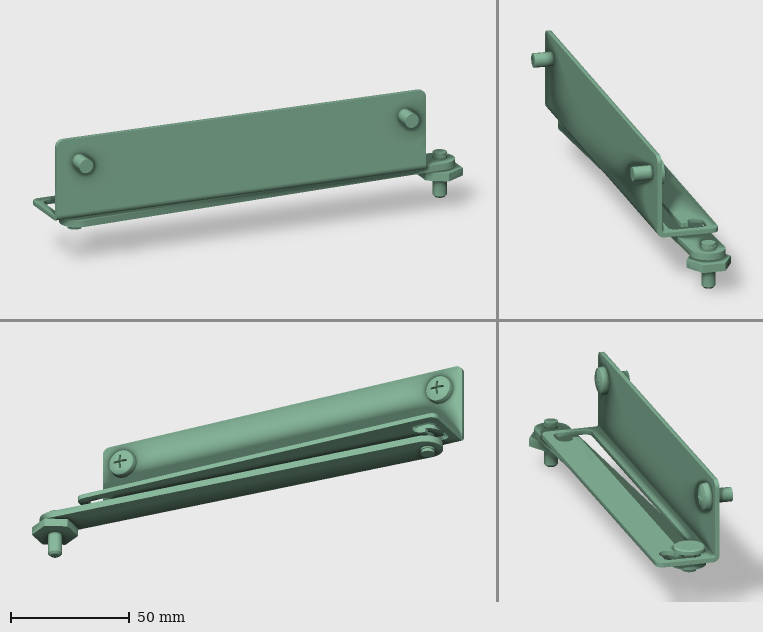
import cadquery as cq
import math


BRACKET_LENGTH = 170.0
BRACKET_WIDTH = 27.4
BRACKET_HEIGHT = 36.0
SHEET_THICKNESS = 2.0
BEND_INNER_RADIUS = 1.0
BEND_OUTER_RADIUS = BEND_INNER_RADIUS + SHEET_THICKNESS
BRACKET_CORNER_RADIUS = 3.0

SLOT_WIDTH = 7.0
SLOT_CENTRE_X = -9.8
SLOT_END_MARGIN = 3.0
SLOT_CORNER_RADIUS = 3.0
SLOT_LIP_RADIUS = 0.5
POCKET_CENTRE_X = -19.8
POCKET_REACH = 11.2

SCREW_DIAMETER = 6.2
SCREW_PROTRUSION = 8.0
SCREW_HEAD_DIAMETER = 12.0
SCREW_RIM_THICKNESS = 0.4
SCREW_SIDE_HEIGHT = 2.3
SCREW_DOME_DIAMETER = 11.2
SCREW_DOME_HEIGHT = 1.3
SCREW_SPACING = 150.0
SCREW_DROP = 10.0
CROSS_LENGTH = 6.2
CROSS_WIDTH = 1.0
CROSS_DEPTH = 2.0

ARM_WIDTH = 15.0
ARM_THICKNESS = 2.9
ARM_GAP = 1.7
ARM_TOP_Z = -ARM_GAP
ARM_BOTTOM_Z = ARM_TOP_Z - ARM_THICKNESS
ARM_HOLE_OFFSET = 1.2

SHAFT_DIAMETER = 6.0
GROOVE_WIDTH = 1.0
GROOVE_DEPTH = 0.4
GROOVE_END_LAND = 0.5

PIN_X = -9.6
PIN_Y = 12.3
PIN_BOTTOM_Z = -7.0
PIN_HEAD_DIAMETER = 13.5
PIN_HEAD_THICKNESS = 2.1
PIN_HEAD_CHAMFER = 0.5

STUD_X = -18.3
STUD_Y = 184.2
STUD_TOP_Z = 1.2
STUD_BOTTOM_Z = -18.9
STUD_CHAMFER = 1.0
HEX_ACROSS_FLATS = 17.0
HEX_ACROSS_CORNERS = HEX_ACROSS_FLATS / math.cos(math.pi / 6)
HEX_TOP_Z = -5.8
HEX_THICKNESS = 3.5

SCREW_Z = BRACKET_HEIGHT - SCREW_DROP
SCREW_YS = [(BRACKET_LENGTH + side * SCREW_SPACING) / 2 for side in (-1, 1)]


def cylinder_up(x, y, bottom, top, diameter):
    """Vertical cylinder between two heights."""
    return cq.Workplane("XY", origin=(x, y, bottom)).circle(diameter / 2).extrude(top - bottom)


def box_between(x0, x1, y0, y1, z0, z1):
    """Box given by its limits along each axis."""
    return cq.Workplane("XY").box(x1 - x0, y1 - y0, z1 - z0, centered=False).translate((x0, y0, z0))


def slot_end():
    """Near end of the guide slot: a cross passage that turns back into a round pocket."""
    left = POCKET_CENTRE_X - SLOT_WIDTH / 2
    right = SLOT_CENTRE_X + SLOT_WIDTH / 2
    near = SLOT_END_MARGIN
    passage = box_between(left, right, near, near + SLOT_WIDTH, 0, SHEET_THICKNESS)
    passage = passage.edges("|Z and <Y").fillet(SLOT_CORNER_RADIUS)
    pocket_y = near + POCKET_REACH - SLOT_WIDTH / 2
    pocket = cylinder_up(POCKET_CENTRE_X, pocket_y, 0, SHEET_THICKNESS, SLOT_WIDTH)
    neck_near = near + SLOT_CORNER_RADIUS
    pocket_neck = box_between(left, left + SLOT_WIDTH, neck_near, pocket_y, 0, SHEET_THICKNESS)
    return passage.union(pocket).union(pocket_neck)


def guide_slot():
    """Long straight slot with the same hooked pocket at both ends and rounded inner corners."""
    straight_near = SLOT_END_MARGIN + SLOT_CORNER_RADIUS
    slot_left = SLOT_CENTRE_X - SLOT_WIDTH / 2
    straight = box_between(
        slot_left,
        SLOT_CENTRE_X + SLOT_WIDTH / 2,
        straight_near,
        BRACKET_LENGTH - straight_near,
        0,
        SHEET_THICKNESS,
    )
    near_end = slot_end()
    far_end = near_end.mirror("XZ", (0, BRACKET_LENGTH / 2, 0))
    slot = straight.union(near_end).union(far_end)
    lip_near = SLOT_END_MARGIN + SLOT_WIDTH
    lip_far = BRACKET_LENGTH - lip_near
    lip_corners = cq.selectors.BoxSelector(
        (slot_left - SLOT_LIP_RADIUS, lip_near - SLOT_LIP_RADIUS, 0),
        (slot_left + SLOT_LIP_RADIUS, lip_far + SLOT_LIP_RADIUS, SHEET_THICKNESS),
    )
    return slot.edges("|Z").edges(lip_corners).fillet(SLOT_LIP_RADIUS)


def make_bracket():
    """Bent sheet with a slotted plate and an upright wall."""
    block = box_between(-BRACKET_WIDTH, 0, 0, BRACKET_LENGTH, 0, BRACKET_HEIGHT)
    block = block.edges("|Y and >X and <Z").fillet(BEND_OUTER_RADIUS)
    hollow = box_between(
        -BRACKET_WIDTH, -SHEET_THICKNESS, 0, BRACKET_LENGTH, SHEET_THICKNESS, BRACKET_HEIGHT
    )
    hollow = hollow.edges("|Y and >X and <Z").fillet(BEND_INNER_RADIUS)
    sheet = block.cut(hollow)
    sheet = sheet.edges("|Z and <X").fillet(BRACKET_CORNER_RADIUS)
    sheet = sheet.edges("|X and >Z").fillet(BRACKET_CORNER_RADIUS)
    for y in SCREW_YS:
        hole = cq.Workplane("YZ", origin=(-SHEET_THICKNESS, y, SCREW_Z))
        sheet = sheet.cut(hole.circle(SCREW_DIAMETER / 2).extrude(SHEET_THICKNESS))
    return sheet.cut(guide_slot())


def dome_middle(crown_x):
    """Point halfway along the dome profile, between its edge and its crown on the axis."""
    edge_radius = SCREW_DOME_DIAMETER / 2
    sphere_radius = (edge_radius**2 + SCREW_DOME_HEIGHT**2) / (2 * SCREW_DOME_HEIGHT)
    half_angle = math.asin(edge_radius / sphere_radius) / 2
    return (crown_x + sphere_radius * (1 - math.cos(half_angle)), sphere_radius * math.sin(half_angle))


def make_screw(y):
    """Domed cross-head screw through the wall, its axis along X."""
    rim_x = -SHEET_THICKNESS - SCREW_RIM_THICKNESS
    dome_x = rim_x - SCREW_SIDE_HEIGHT
    crown_x = dome_x - SCREW_DOME_HEIGHT
    head_radius = SCREW_HEAD_DIAMETER / 2
    shank_radius = SCREW_DIAMETER / 2
    screw = (
        cq.Workplane("XY")
        .moveTo(crown_x, 0)
        .lineTo(SCREW_PROTRUSION, 0)
        .lineTo(SCREW_PROTRUSION, shank_radius)
        .lineTo(-SHEET_THICKNESS, shank_radius)
        .lineTo(-SHEET_THICKNESS, head_radius)
        .lineTo(rim_x, head_radius)
        .tangentArcPoint((dome_x, SCREW_DOME_DIAMETER / 2), relative=False)
        .threePointArc(dome_middle(crown_x), (crown_x, 0))
        .close()
        .revolve(360, (0, 0, 0), (1, 0, 0))
    )
    crown_plane = cq.Workplane("YZ", origin=(crown_x, 0, 0))
    cross = crown_plane.rect(CROSS_LENGTH, CROSS_WIDTH).extrude(CROSS_DEPTH)
    cross = cross.union(crown_plane.rect(CROSS_WIDTH, CROSS_LENGTH).extrude(CROSS_DEPTH))
    return screw.cut(cross).translate((0, y, SCREW_Z))


def make_arm():
    """Round-ended bar below the plate, with a hole for the stud and one for the pin."""
    run_x = STUD_X - PIN_X
    run_y = STUD_Y - PIN_Y
    angle = math.degrees(math.atan2(run_y, run_x))
    length = math.hypot(run_x, run_y) - 2 * ARM_HOLE_OFFSET + ARM_WIDTH
    centre = ((STUD_X + PIN_X) / 2, (STUD_Y + PIN_Y) / 2, ARM_BOTTOM_Z)
    arm = cq.Workplane("XY", origin=centre).slot2D(length, ARM_WIDTH, angle).extrude(ARM_THICKNESS)
    for x, y in ((STUD_X, STUD_Y), (PIN_X, PIN_Y)):
        arm = arm.cut(cylinder_up(x, y, ARM_BOTTOM_Z, ARM_TOP_Z, SHAFT_DIAMETER))
    return arm


def ring_groove(x, y, bottom):
    """Ring of material removed by a retaining groove."""
    core_diameter = SHAFT_DIAMETER - 2 * GROOVE_DEPTH
    outer = cylinder_up(x, y, bottom, bottom + GROOVE_WIDTH, SHAFT_DIAMETER)
    return outer.cut(cylinder_up(x, y, bottom, bottom + GROOVE_WIDTH, core_diameter))


def make_slide_pin():
    """Flat-headed pin hanging through the slot and the arm."""
    head_top = SHEET_THICKNESS + PIN_HEAD_THICKNESS
    head = cylinder_up(PIN_X, PIN_Y, SHEET_THICKNESS, head_top, PIN_HEAD_DIAMETER)
    head = head.faces(">Z").chamfer(PIN_HEAD_CHAMFER)
    shaft = cylinder_up(PIN_X, PIN_Y, PIN_BOTTOM_Z, SHEET_THICKNESS, SHAFT_DIAMETER)
    return head.union(shaft).cut(ring_groove(PIN_X, PIN_Y, PIN_BOTTOM_Z + GROOVE_END_LAND))


def make_stud():
    """Stud through the arm with a hexagon flange below it."""
    shaft = cylinder_up(STUD_X, STUD_Y, STUD_BOTTOM_Z, STUD_TOP_Z, SHAFT_DIAMETER)
    shaft = shaft.faces("<Z").chamfer(STUD_CHAMFER)
    hexagon = (
        cq.Workplane("XY", origin=(STUD_X, STUD_Y, HEX_TOP_Z - HEX_THICKNESS))
        .polygon(6, HEX_ACROSS_CORNERS)
        .extrude(HEX_THICKNESS)
    )
    groove = ring_groove(STUD_X, STUD_Y, STUD_TOP_Z - GROOVE_END_LAND - GROOVE_WIDTH)
    return shaft.union(hexagon).cut(groove)


bracket = make_bracket()
screws = [make_screw(y) for y in SCREW_YS]
arm = make_arm()
slide_pin = make_slide_pin()
stud = make_stud()

result = cq.Compound.makeCompound(
    [bracket.val(), *[screw.val() for screw in screws], arm.val(), slide_pin.val(), stud.val()]
)